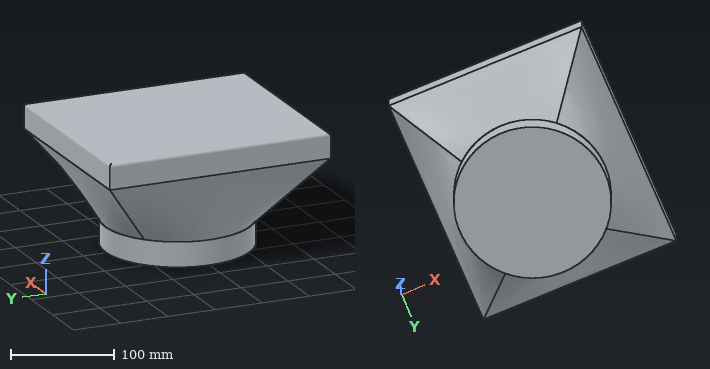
import cadquery as cq

HEAD_WIDTH = 203.3
HEAD_LENGTH = 234.7
TOTAL_HEIGHT = 127.0
COLLAR_DIAMETER = 152.5
END_HEIGHT = 26.0
EDGE_RADIUS = 3.3

TRANSITION_HEIGHT = TOTAL_HEIGHT - 2 * END_HEIGHT
HEAD_BASE = END_HEIGHT + TRANSITION_HEIGHT


def make_collar():
    """Round collar standing on Z = 0."""
    return (
        cq.Workplane("XY")
        .circle(COLLAR_DIAMETER / 2)
        .extrude(END_HEIGHT)
    )


def make_transition():
    """Round-to-rectangular loft between the collar and the head."""
    return (
        cq.Workplane("XY", origin=(0, 0, END_HEIGHT))
        .circle(COLLAR_DIAMETER / 2)
        .workplane(offset=TRANSITION_HEIGHT)
        .rect(HEAD_WIDTH, HEAD_LENGTH)
        .loft()
    )


def make_head():
    """Rectangular head with a rounded top rim."""
    return (
        cq.Workplane("XY", origin=(0, 0, HEAD_BASE))
        .rect(HEAD_WIDTH, HEAD_LENGTH)
        .extrude(END_HEIGHT)
        .faces(">Z")
        .edges()
        .fillet(EDGE_RADIUS)
    )


collar = make_collar()
transition = make_transition()
head = make_head()

result = cq.Compound.makeCompound([collar.val(), transition.val(), head.val()])